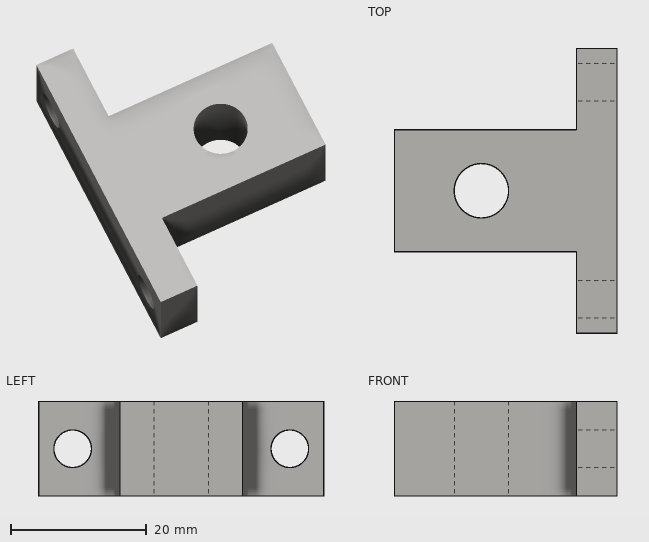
import cadquery as cq

flange_length = 42.0
flange_thickness = 6.0
height = 14.0

total_depth = 32.8
block_width = 18.0
block_depth = total_depth - flange_thickness

bore_diameter = 8.0
bore_to_flange_back = 20.0

mount_hole_diameter = 5.5
mount_hole_spacing = 32.0

flange = cq.Workplane("XY").box(flange_thickness, flange_length, height).translate(
    (-flange_thickness / 2, 0, 0)
)
block = cq.Workplane("XY").box(block_depth, block_width, height).translate(
    (-flange_thickness - block_depth / 2, 0, 0)
)
body = flange.union(block)

bore = (
    cq.Workplane("XY")
    .center(-bore_to_flange_back, 0)
    .circle(bore_diameter / 2)
    .extrude(height / 2, both=True)
)

mount_holes = (
    cq.Workplane("YZ")
    .pushPoints([(side * mount_hole_spacing / 2, 0) for side in (-1, 1)])
    .circle(mount_hole_diameter / 2)
    .extrude(-flange_thickness)
)

result = body.cut(bore).cut(mount_holes)